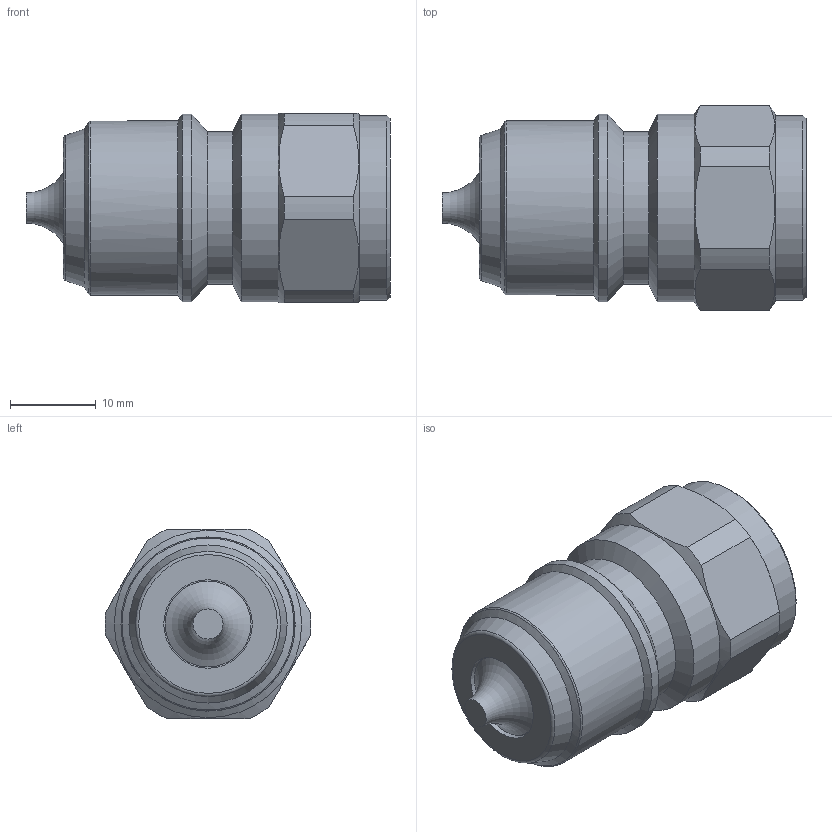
import cadquery as cq
import math


overall_length = 42.36
nose_face_x = 4.36
nose_step_x = 6.8
ring_start_x = 17.65
ring_top_x = 18.17
ring_chamfer_x = 19.3
neck_start_x = 21.07
neck_end_x = 24.05
collar_start_x = 25.07
hex_start_x = 29.33
hex_end_x = 38.8

nose_face_radius = 8.36
nose_step_radius = 9.2
plug_radius = 10.13
ring_radius = 10.9
neck_radius = 8.9
collar_radius = 10.9
tail_radius = 10.75

nose_step_angle = 60.0
nose_fillet = 0.4
plug_fillet = 0.25
tail_chamfer = 0.35

hex_across_flats = 22.0
hex_corner_radius = 11.99
hex_chamfer_length = 0.72
hex_face_radius = 10.9

poppet_tip_radius = 1.75
poppet_radius = 5.0
poppet_flare_radius = 5.2
bore_radius = 5.15
bore_depth = 0.7


def revolve_about_x(profile):
    """Turn a closed (X, radius) outline once around the X axis."""
    return profile.close().revolve(360, (0, 0, 0), (1, 0, 0))


def flare_length(radius):
    """Distance from the tip at which the concave flare reaches a radius."""
    drop = poppet_flare_radius - (radius - poppet_tip_radius)
    return math.sqrt(poppet_flare_radius**2 - drop**2)


def make_plug():
    """Conical nose and cylindrical plug, reaching back to the end of the neck."""
    step_run = (plug_radius - nose_step_radius) / math.tan(math.radians(nose_step_angle))
    plug_start_x = nose_step_x + step_run
    plug = revolve_about_x(
        cq.Workplane("XY")
        .moveTo(nose_face_x, 0)
        .lineTo(nose_face_x, nose_face_radius)
        .lineTo(nose_step_x, nose_step_radius)
        .lineTo(plug_start_x, plug_radius)
        .lineTo(ring_start_x, plug_radius)
        .lineTo(ring_start_x, neck_radius)
        .lineTo(neck_end_x, neck_radius)
        .lineTo(neck_end_x, 0)
    )
    plug = plug.edges(cq.selectors.RadiusNthSelector(-1)).edges("<X").fillet(plug_fillet)
    return plug.faces("<X").edges().fillet(nose_fillet)


def make_ring():
    """Raised ring with a conical front and a longer cone falling to the neck."""
    return revolve_about_x(
        cq.Workplane("XY")
        .moveTo(ring_start_x, 0)
        .lineTo(ring_start_x, plug_radius)
        .lineTo(ring_top_x, ring_radius)
        .lineTo(ring_chamfer_x, ring_radius)
        .lineTo(neck_start_x, neck_radius)
        .lineTo(neck_start_x, 0)
    )


def make_collar():
    """Collar with a conical front, reaching back to the hexagon."""
    return revolve_about_x(
        cq.Workplane("XY")
        .moveTo(neck_end_x, 0)
        .lineTo(neck_end_x, neck_radius)
        .lineTo(collar_start_x, collar_radius)
        .lineTo(hex_start_x, collar_radius)
        .lineTo(hex_start_x, 0)
    )


def make_tail():
    """Plain cylinder behind the hexagon, chamfered at its end."""
    return (
        cq.Workplane("YZ", origin=(hex_end_x, 0, 0))
        .circle(tail_radius)
        .extrude(overall_length - hex_end_x)
        .faces(">X")
        .edges()
        .chamfer(tail_chamfer)
    )


def make_hexagon():
    """Hexagon with flats at +Z and -Z, its corners turned round and chamfered."""
    corner_diameter = hex_across_flats / math.cos(math.pi / 6)
    prism = (
        cq.Workplane("YZ", origin=(hex_start_x, 0, 0))
        .polygon(6, corner_diameter)
        .extrude(hex_end_x - hex_start_x)
    )
    turned_blank = revolve_about_x(
        cq.Workplane("XY")
        .moveTo(hex_start_x, 0)
        .lineTo(hex_start_x, hex_face_radius)
        .lineTo(hex_start_x + hex_chamfer_length, hex_corner_radius)
        .lineTo(hex_end_x - hex_chamfer_length, hex_corner_radius)
        .lineTo(hex_end_x, hex_face_radius)
        .lineTo(hex_end_x, 0)
    )
    return prism.intersect(turned_blank)


def make_bore():
    return (
        cq.Workplane("YZ", origin=(nose_face_x, 0, 0))
        .circle(bore_radius)
        .extrude(bore_depth)
    )


def make_poppet():
    flare_end_x = flare_length(poppet_radius)
    flare_mid_x = flare_end_x / 2
    flare_mid_radius = (
        poppet_tip_radius
        + poppet_flare_radius
        - math.sqrt(poppet_flare_radius**2 - flare_mid_x**2)
    )
    poppet_end_x = nose_face_x + bore_depth
    return revolve_about_x(
        cq.Workplane("XY")
        .lineTo(0, poppet_tip_radius)
        .threePointArc((flare_mid_x, flare_mid_radius), (flare_end_x, poppet_radius))
        .lineTo(poppet_end_x, poppet_radius)
        .lineTo(poppet_end_x, 0)
    )


shell = make_plug().cut(make_bore())
for section in (make_ring(), make_collar(), make_hexagon(), make_tail()):
    shell = shell.union(section)

result = shell.union(make_poppet())